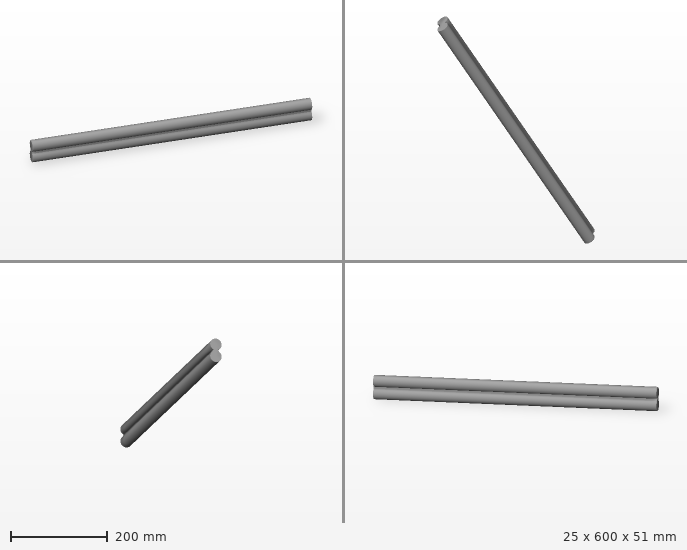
import cadquery as cq


length = 600.0
height = 51.0

rod_gap = 1.0
rod_chamfer = 1.0
rod_diameter = (height - rod_gap) / 2
rod_pitch = rod_diameter + rod_gap
upper_axis_z = rod_pitch / 2
lower_axis_z = -rod_pitch / 2

key_top_z = 3.0
key_top_half_width = 5.0
key_foot_half_width = 10.0
key_groove_half_width = 6.5
key_groove_depth = 1.0


def along_length(z=0.0):
    """Sketch plane at the back (+Y) end; extruding from it runs toward the front."""
    return cq.Workplane("XZ", origin=(0, length / 2, z))


def make_rod(axis_z):
    rod = along_length(axis_z).circle(rod_diameter / 2).extrude(length)
    return rod.faces("<Y").chamfer(rod_chamfer)


def make_key_blank():
    """Keystone bar with a grooved foot, before the seat for the upper rod is cut."""
    groove_top_z = lower_axis_z + key_groove_depth
    outline = [
        (-key_top_half_width, key_top_z),
        (key_top_half_width, key_top_z),
        (key_foot_half_width, lower_axis_z),
        (key_groove_half_width, lower_axis_z),
        (key_groove_half_width, groove_top_z),
        (-key_groove_half_width, groove_top_z),
        (-key_groove_half_width, lower_axis_z),
        (-key_foot_half_width, lower_axis_z),
    ]
    return along_length().polyline(outline).close().extrude(length)


def make_key_strip():
    """Key with a full-length round seat, so that it touches the upper rod."""
    seat = along_length(upper_axis_z).circle(rod_diameter / 2).extrude(length)
    return make_key_blank().cut(seat)


key_strip = make_key_strip()
upper_rod = make_rod(upper_axis_z)
lower_rod = make_rod(lower_axis_z).cut(key_strip)

bodies = [upper_rod, lower_rod, key_strip]
result = cq.Compound.makeCompound([body.solids().val() for body in bodies])